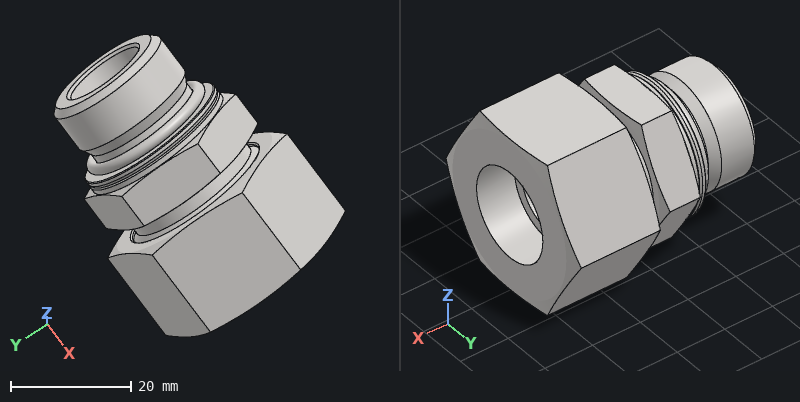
import cadquery as cq
import math


stud_radius = 11.0
bore_radius = 7.0
bore_chamfer = 0.5
stud_chamfer = 1.2
stud_end = 8.05
neck_start = 10.0
neck_radius = 9.9

collar_start = 13.02
collar_radius = 13.35
collar_chamfer = 0.18
groove_start = 13.8
groove_bottom = 14.3
groove_end = 14.55
groove_radius = 13.1

hex_start = 15.5
hex_end = 22.95
hex_flats = 27.0
hex_chamfer_radius = 13.45

shank_radius = 11.8
flare_start = 25.55
flare_radius = 12.55
flare_shoulder_angle = 60.0
thread_radius = 13.0
fitting_end = 36.1

nut_start = 25.95
nut_end = 44.0
nut_flats = 32.0
nut_front_chamfer_radius = 15.95
nut_back_chamfer_radius = 15.5
tube_radius = 9.0
nut_mouth_chamfer = 0.25

corner_chamfer_angle = 15.0

ring_outer_radius = 11.92
ring_section_radius = (ring_outer_radius - neck_radius) / 2


def revolve_about_x(profile):
    """Revolve an (x, radius) outline a full turn about the X axis."""
    return profile.close().revolve(360, (0, 0, 0), (1, 0, 0))


def chamfered_hexagon(start, end, flats, start_radius, end_radius):
    """Hexagonal prism along X, flats up and down, with turned-down corners at both ends."""
    corner_radius = flats / math.sqrt(3)
    slope = math.tan(math.radians(corner_chamfer_angle))
    start_depth = (corner_radius - start_radius) * slope
    end_depth = (corner_radius - end_radius) * slope
    prism = cq.Workplane("YZ", origin=(start, 0, 0)).polygon(6, 2 * corner_radius).extrude(end - start)
    envelope = revolve_about_x(
        cq.Workplane("XY")
        .moveTo(start, 0)
        .lineTo(start, start_radius)
        .lineTo(start + start_depth, corner_radius)
        .lineTo(end - end_depth, corner_radius)
        .lineTo(end, end_radius)
        .lineTo(end, 0)
    )
    return prism.intersect(envelope)


def make_fitting():
    flare_end = flare_start + flare_radius - shank_radius
    thread_start = flare_end + (thread_radius - flare_radius) / math.tan(math.radians(flare_shoulder_angle))
    turned = revolve_about_x(
        cq.Workplane("XY")
        .moveTo(0, 0)
        .lineTo(0, stud_radius - stud_chamfer)
        .lineTo(stud_chamfer, stud_radius)
        .lineTo(stud_end, stud_radius)
        .lineTo(neck_start, neck_radius)
        .lineTo(collar_start, neck_radius)
        .lineTo(collar_start, collar_radius - collar_chamfer)
        .lineTo(collar_start + collar_chamfer, collar_radius)
        .lineTo(groove_start, collar_radius)
        .lineTo(groove_bottom, groove_radius)
        .lineTo(groove_end, collar_radius)
        .lineTo(hex_start, collar_radius)
        .lineTo(hex_start, shank_radius)
        .lineTo(flare_start, shank_radius)
        .lineTo(flare_end, flare_radius)
        .lineTo(thread_start, thread_radius)
        .lineTo(fitting_end, thread_radius)
        .lineTo(fitting_end, 0)
    )
    hexagon = chamfered_hexagon(hex_start, hex_end, hex_flats, hex_chamfer_radius, hex_chamfer_radius)
    bore = revolve_about_x(
        cq.Workplane("XY")
        .moveTo(0, 0)
        .lineTo(0, bore_radius + bore_chamfer)
        .lineTo(bore_chamfer, bore_radius)
        .lineTo(fitting_end, bore_radius)
        .lineTo(fitting_end, 0)
    )
    return turned.union(hexagon).cut(bore)


def make_sealing_ring():
    center = cq.Vector(collar_start - ring_section_radius, 0, 0)
    axis = cq.Vector(1, 0, 0)
    return cq.Solid.makeTorus(ring_outer_radius - ring_section_radius, ring_section_radius, center, axis)


def make_nut():
    hexagon = chamfered_hexagon(
        nut_start, nut_end, nut_flats, nut_front_chamfer_radius, nut_back_chamfer_radius
    )
    bore = revolve_about_x(
        cq.Workplane("XY")
        .moveTo(nut_start, 0)
        .lineTo(nut_start, thread_radius + nut_mouth_chamfer)
        .lineTo(nut_start + nut_mouth_chamfer, thread_radius)
        .lineTo(fitting_end, thread_radius)
        .lineTo(fitting_end, tube_radius)
        .lineTo(nut_end, tube_radius)
        .lineTo(nut_end, 0)
    )
    return hexagon.cut(bore)


fitting = make_fitting()
sealing_ring = make_sealing_ring()
nut = make_nut()

result = cq.Compound.makeCompound([fitting.val(), sealing_ring, nut.val()])